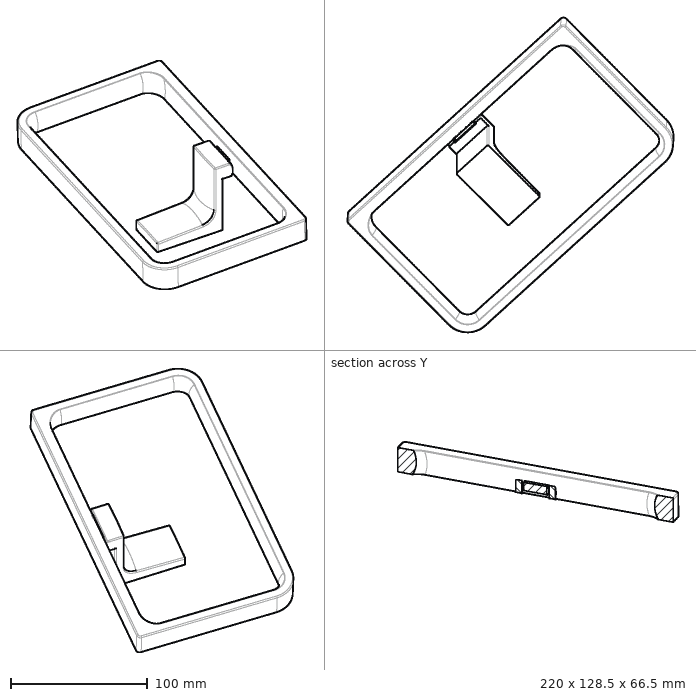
import cadquery as cq
import math

TOTAL_HEIGHT = 66.5
EDGE_ROUND = 1.0
MARGIN = 0.2

FRAME_WIDTH = 220.0
FRAME_DEPTH = 128.0
FRAME_HEIGHT = 20.0
FRAME_TILT = 1.6
RIM_WIDTH = 6.5
BAR_BULGE = 4.0
REAR_BAR_DEPTH = 9.0
FRONT_CORNER_RADIUS = 19.0
REAR_CORNER_RADIUS = 2.9
REAR_INNER_RADIUS = 11.9
RIM_ROUND = 0.55

HOOK_WIDTH = 32.1
HOOK_HEIGHT = 59.2
HOOK_REAR_Y = -18.7
HOOK_TIP_Y = -74.0
UPRIGHT_THICKNESS = 7.3
TIP_THICKNESS = 8.4
ARM_SLOPE = 3.0
BEND_RADIUS = 10.1
CROWN = 3.5
MIDDLE_CROWN = 2.6
END_CROWN = 0.2
END_ROUND = 0.9
TIP_TRIM = 2.2
SKIN_DEPTH = 4.5

HEAD_HEIGHT = 12.0
HEAD_TOP_Y = -12.5
HEAD_REAR_Y = -10.1
HEAD_BOTTOM_Y = -11.0
SLOT_WIDTH = 21.8
SLOT_FRONT_Y = -11.9

CONNECTOR_WIDTH = 18.7
CONNECTOR_HEIGHT = 7.0

slope = math.radians(ARM_SLOPE)
upright_front_y = HOOK_REAR_Y - UPRIGHT_THICKNESS
bend_y = upright_front_y - BEND_RADIUS
bend_z = TIP_THICKNESS + (bend_y - HOOK_TIP_Y) * math.tan(slope) + BEND_RADIUS / math.cos(slope)
head_bottom_z = HOOK_HEIGHT - HEAD_HEIGHT
head_middle_z = HOOK_HEIGHT - HEAD_HEIGHT / 2


def make_frame():
    """Ring of three bulged bars swept around the outline and a straight rear bar."""
    half = FRAME_WIDTH / 2
    r = FRONT_CORNER_RADIUS
    diagonal = r * (1 - math.sqrt(0.5))
    path = (
        cq.Workplane("XY")
        .moveTo(-half, 0)
        .lineTo(-half, r - FRAME_DEPTH)
        .threePointArc((diagonal - half, diagonal - FRAME_DEPTH), (r - half, -FRAME_DEPTH))
        .lineTo(half - r, -FRAME_DEPTH)
        .threePointArc((half - diagonal, diagonal - FRAME_DEPTH), (half, r - FRAME_DEPTH))
        .lineTo(half, 0)
    )
    bars = (
        cq.Workplane("XZ")
        .moveTo(-half, 0)
        .lineTo(RIM_WIDTH - half, 0)
        .threePointArc(
            (RIM_WIDTH + BAR_BULGE - half, FRAME_HEIGHT / 2), (RIM_WIDTH - half, FRAME_HEIGHT)
        )
        .lineTo(-half, FRAME_HEIGHT)
        .close()
        .sweep(path)
    )
    rear_bar = cq.Workplane("XY").box(
        FRAME_WIDTH, REAR_BAR_DEPTH, FRAME_HEIGHT, centered=(True, False, False)
    ).translate((0, -REAR_BAR_DEPTH, 0))
    frame = bars.union(rear_bar).clean()

    inner_corners = cq.selectors.BoxSelector(
        (-half + MARGIN, -REAR_BAR_DEPTH - MARGIN, MARGIN),
        (half - MARGIN, -REAR_BAR_DEPTH + MARGIN, FRAME_HEIGHT - MARGIN),
    )
    frame = frame.edges(inner_corners).fillet(REAR_INNER_RADIUS)
    frame = frame.edges("|Z and >Y").fillet(REAR_CORNER_RADIUS)
    opening = cq.selectors.BoxSelector(
        (MARGIN - half, MARGIN - FRAME_DEPTH, -MARGIN),
        (half - MARGIN, -MARGIN, FRAME_HEIGHT + MARGIN),
        boundingbox=True,
    )
    frame = frame.faces("<Z or >Z").edges(opening).fillet(RIM_ROUND)
    frame = frame.faces("<Z or >Z").edges(cq.selectors.InverseSelector(opening)).fillet(EDGE_ROUND)
    return frame.rotate((0, 0, 0), (1, 0, 0), FRAME_TILT).translate(
        (0, 0, TOTAL_HEIGHT - FRAME_HEIGHT)
    )


def crown_section(plane, crown):
    """Closed wire with rounded shoulders and a swelling top; the plane lies on the uncrowned surface."""
    half = HOOK_WIDTH / 2
    r = EDGE_ROUND
    inset = r * (1 - math.sqrt(0.5))
    return (
        cq.Workplane(plane)
        .moveTo(-half, -SKIN_DEPTH)
        .lineTo(-half, -r)
        .threePointArc((inset - half, -inset), (r - half, 0))
        .threePointArc((0, crown), (half - r, 0))
        .threePointArc((half - inset, -inset), (half, -r))
        .lineTo(half, -SKIN_DEPTH)
        .close()
    )


def loft_skin(*sections):
    return cq.Workplane(cq.Solid.makeLoft([section.wire().val() for section in sections]))


def upright_plane(z):
    return cq.Plane(origin=(0, upright_front_y, z), xDir=(1, 0, 0), normal=(0, 0, -1))


def arm_plane(distance):
    """Plane across the arm, at a distance along its slope from the end of the bend."""
    y = bend_y + BEND_RADIUS * math.sin(slope) - distance * math.cos(slope)
    z = bend_z - BEND_RADIUS * math.cos(slope) - distance * math.sin(slope)
    return cq.Plane(
        origin=(0, y, z), xDir=(1, 0, 0), normal=(0, -math.cos(slope), -math.sin(slope))
    )


def make_crowned_skin():
    upright = loft_skin(
        crown_section(upright_plane(bend_z), CROWN),
        crown_section(upright_plane((bend_z + HOOK_HEIGHT) / 2), MIDDLE_CROWN),
        crown_section(upright_plane(HOOK_HEIGHT), END_CROWN),
    )
    bend = crown_section(upright_plane(bend_z), CROWN).revolve(
        90 - ARM_SLOPE, (2.2, BEND_RADIUS, 0), (-2.2, BEND_RADIUS, 0)
    )
    arm_length = (bend_y + BEND_RADIUS * math.sin(slope) - HOOK_TIP_Y + TIP_TRIM) / math.cos(slope)
    arm = loft_skin(
        crown_section(arm_plane(0), CROWN), crown_section(arm_plane(arm_length), END_CROWN)
    )
    return upright, bend, arm


def make_core():
    """Sharp-edged body behind the skin; its front stays one edge rounding below the surface."""
    front_y = upright_front_y + EDGE_ROUND
    bend_radius = BEND_RADIUS + EDGE_ROUND
    middle_angle = slope / 2 + math.pi / 4
    end_y = HOOK_TIP_Y - TIP_TRIM
    end_z = TIP_THICKNESS - EDGE_ROUND / math.cos(slope) - TIP_TRIM * math.tan(slope)
    return (
        cq.Workplane("YZ")
        .moveTo(HOOK_REAR_Y, 0)
        .lineTo(end_y, 0)
        .lineTo(end_y, end_z)
        .lineTo(bend_y + bend_radius * math.sin(slope), bend_z - bend_radius * math.cos(slope))
        .threePointArc(
            (bend_y + bend_radius * math.sin(middle_angle), bend_z - bend_radius * math.cos(middle_angle)),
            (front_y, bend_z),
        )
        .lineTo(front_y, HOOK_HEIGHT)
        .lineTo(HEAD_TOP_Y, HOOK_HEIGHT)
        .threePointArc((HEAD_REAR_Y, head_middle_z), (HEAD_BOTTOM_Y, head_bottom_z))
        .lineTo(HOOK_REAR_Y, head_bottom_z)
        .close()
        .extrude(HOOK_WIDTH / 2, both=True)
    )


def make_hook():
    """Crowned hook with rounded edges and a slot in the back of its head."""
    hook = make_core()
    for skin in make_crowned_skin():
        hook = hook.union(skin)
    hook = hook.clean()
    beyond_tip = cq.Workplane("XY").box(2 * HOOK_WIDTH, 2 * TIP_TRIM, HOOK_HEIGHT).translate(
        (0, HOOK_TIP_Y - TIP_TRIM, HOOK_HEIGHT / 2)
    )
    hook = hook.cut(beyond_tip)

    hook = hook.faces("<Y").edges("not(<Z)").fillet(END_ROUND)
    upright_rear = cq.selectors.BoxSelector(
        (-HOOK_WIDTH, HOOK_REAR_Y - MARGIN, MARGIN),
        (HOOK_WIDTH, HOOK_REAR_Y + MARGIN, head_bottom_z - MARGIN),
    )
    hook = hook.edges(upright_rear).fillet(EDGE_ROUND)
    head_rear = cq.selectors.BoxSelector(
        (-HOOK_WIDTH, HEAD_TOP_Y, head_bottom_z + MARGIN),
        (HOOK_WIDTH, 0, HOOK_HEIGHT - MARGIN),
    )
    hook = hook.edges(head_rear).fillet(EDGE_ROUND)
    hook = hook.faces(">Z").edges("not(>Y)").fillet(END_ROUND)

    slot = cq.Workplane("XY").box(
        SLOT_WIDTH, -SLOT_FRONT_Y, HOOK_HEIGHT, centered=(True, False, False)
    ).translate((0, SLOT_FRONT_Y, 0))
    return hook.cut(slot)


def make_connector(frame):
    """Block that fills the space from the slot to the tilted face of the rear bar."""
    length = -SLOT_FRONT_Y - REAR_BAR_DEPTH / 2
    block = cq.Workplane("XY").box(CONNECTOR_WIDTH, length, CONNECTOR_HEIGHT)
    block = block.translate((0, SLOT_FRONT_Y + length / 2, head_middle_z))
    return block.cut(frame)


frame = make_frame()
hook = make_hook()
connector = make_connector(frame)

result = cq.Compound.makeCompound(
    [frame.solids().val(), hook.solids().val(), connector.solids().val()]
)